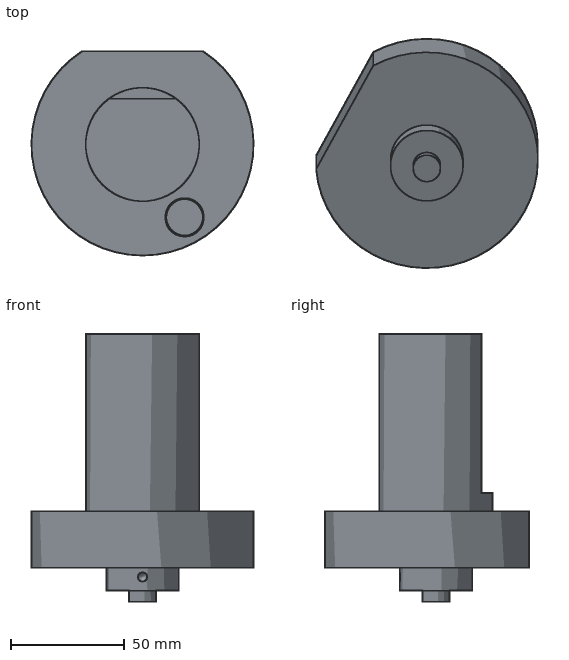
import cadquery as cq
import math

pin_diameter = 12.0
pin_height = 5.0
boss_diameter = 32.0
boss_height = 10.0
flange_diameter = 97.9
flange_height = 25.0
shaft_diameter = 50.0
total_height = 118.0

flange_flat_offset = 41.1
shaft_flat_offset = 20.1
shaft_collar_height = 8.0

pocket_diameter = 16.0
pocket_mouth_diameter = 17.0
pocket_taper_depth = 1.0
pocket_depth = 7.5
pocket_pitch_radius = 37.0
pocket_angle = -60.0

drill_diameter = 4.0
drill_depth = 5.0
drill_point_angle = 118.0
drill_drop = 4.0

boss_bottom = pin_height
flange_bottom = boss_bottom + boss_height
flange_top = flange_bottom + flange_height


def cylinder(diameter, bottom, top):
    """Upright cylinder on the Z axis."""
    return cq.Workplane("XY").workplane(offset=bottom).circle(diameter / 2).extrude(top - bottom)


def cut_flat(body, diameter, offset, bottom, top):
    """Remove everything beyond a flat on the +Y side."""
    waste = (
        cq.Workplane("XY")
        .box(diameter, diameter, top - bottom, centered=(True, False, False))
        .translate((0, offset, bottom))
    )
    return body.cut(waste)


def make_pocket():
    """Blind round pocket, revolved about its own axis and moved to its place."""
    radius = pocket_diameter / 2
    profile = (
        cq.Workplane("XZ")
        .moveTo(0, 0)
        .lineTo(pocket_mouth_diameter / 2, 0)
        .lineTo(radius, -pocket_taper_depth)
        .lineTo(radius, -pocket_depth)
        .lineTo(0, -pocket_depth)
        .close()
    )
    angle = math.radians(pocket_angle)
    x = pocket_pitch_radius * math.cos(angle)
    y = pocket_pitch_radius * math.sin(angle)
    return profile.revolve(360, (0, 0, 0), (0, 1, 0)).translate((x, y, flange_top))


def make_drilled_hole():
    """Radial blind hole with a conical end, running in +Y."""
    radius = drill_diameter / 2
    tip_length = radius / math.tan(math.radians(drill_point_angle / 2))
    entry = -boss_diameter / 2
    shoulder = entry + drill_depth
    profile = (
        cq.Workplane("XY")
        .moveTo(0, entry)
        .lineTo(radius, entry)
        .lineTo(radius, shoulder)
        .lineTo(0, shoulder + tip_length)
        .close()
    )
    hole = profile.revolve(360, (0, 0, 0), (0, 1, 0))
    return hole.translate((0, 0, flange_bottom - drill_drop))


pin = cylinder(pin_diameter, 0, boss_bottom)
boss = cylinder(boss_diameter, boss_bottom, flange_bottom).cut(make_drilled_hole())

flange = cylinder(flange_diameter, flange_bottom, flange_top)
flange = cut_flat(flange, flange_diameter, flange_flat_offset, flange_bottom, flange_top)
flange = flange.cut(make_pocket())

shaft = cylinder(shaft_diameter, flange_top, total_height)
shaft = cut_flat(shaft, shaft_diameter, shaft_flat_offset, flange_top + shaft_collar_height, total_height)

result = pin.union(boss).union(flange).union(shaft)